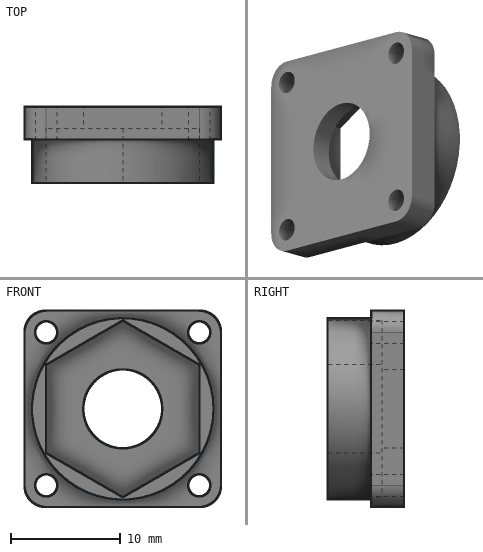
import cadquery as cq
import math

flange_side = 18.0
flange_thickness = 3.0
corner_radius = 2.0

boss_diameter = 16.6
boss_height = 4.0

hex_across_flats = 14.0
hex_depth = 5.0
hex_across_corners = hex_across_flats / math.cos(math.pi / 6)
hex_corner_rotation = 90.0

bore_diameter = 7.2
screw_hole_diameter = 2.0
screw_hole_spacing = flange_side - 2 * corner_radius

total_depth = flange_thickness + boss_height


def plane_at(y, rotation=0.0):
    """Plane facing -Y at the given Y, turned about its normal."""
    plane = cq.Plane(origin=(0, y, 0), xDir=(1, 0, 0), normal=(0, -1, 0))
    return cq.Workplane(plane.rotated((0, 0, rotation)))


def make_flange():
    """Rounded square plate with its back face at Y = 0."""
    plate = plane_at(0).rect(flange_side, flange_side).extrude(flange_thickness)
    return plate.edges("|Y").fillet(corner_radius)


def make_boss():
    return plane_at(-flange_thickness).circle(boss_diameter / 2).extrude(boss_height)


def make_hex_pocket():
    floor_y = hex_depth - total_depth
    hexagon = plane_at(floor_y, hex_corner_rotation).polygon(6, hex_across_corners)
    return hexagon.extrude(hex_depth)


def make_bore():
    return plane_at(0).circle(bore_diameter / 2).extrude(total_depth)


def make_screw_holes():
    """One hole concentric with each rounded corner of the flange."""
    centers = plane_at(0).rect(screw_hole_spacing, screw_hole_spacing, forConstruction=True).vertices()
    return centers.circle(screw_hole_diameter / 2).extrude(flange_thickness)


body = make_flange().union(make_boss())
result = body.cut(make_hex_pocket()).cut(make_bore()).cut(make_screw_holes())